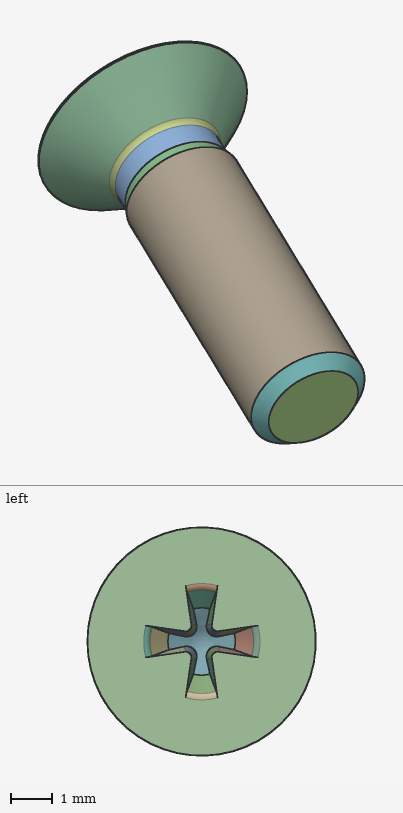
import cadquery as cq
import math

length = 10.0
head_radius = 5.5 / 2
rim_width = 0.05
neck_radius = 2.8 / 2
neck_end = 2.1
neck_fillet = 0.25
shank_radius = 3.0 / 2
shank_start = 2.4
tip_chamfer = 0.32

recess_radius = 1.4
mouth_fillet = 0.18
wing_cone_angle = math.radians(30)
floor_radius = 0.81
floor_cone_angle = math.radians(28)
wing_center_half_width = 0.19
wing_flare = math.tan(math.radians(8.2))
wall_draft = 7.0
corner_arc_start = 0.4
wing_reach = recess_radius + 0.3


def make_body():
    """Revolve the 90 degree countersunk head, neck and chamfered shank."""
    cone_end = rim_width + head_radius - neck_radius
    fillet_tangent = neck_fillet * math.tan(math.radians(45) / 2)
    cone_setback = fillet_tangent * math.cos(math.radians(45))
    return (
        cq.Workplane("XY")
        .lineTo(0, head_radius)
        .lineTo(rim_width, head_radius)
        .lineTo(cone_end - cone_setback, neck_radius + cone_setback)
        .tangentArcPoint((cone_end + fillet_tangent, neck_radius), relative=False)
        .lineTo(neck_end, neck_radius)
        .lineTo(shank_start, shank_radius)
        .lineTo(length - tip_chamfer, shank_radius)
        .lineTo(length, shank_radius - tip_chamfer)
        .lineTo(length, 0)
        .close()
        .revolve(360, (0, 0, 0), (1, 0, 0))
    )


def make_recess():
    """Intersect a drafted flared cross with a rounded-mouth conical envelope."""
    arc_turn = math.pi / 2 - wing_cone_angle
    cone_radius = recess_radius - mouth_fillet * math.sin(arc_turn)
    cone_start = mouth_fillet * (1 - math.cos(arc_turn))
    floor_start = cone_start + (cone_radius - floor_radius) / math.tan(wing_cone_angle)
    depth = floor_start + floor_radius * math.tan(floor_cone_angle)
    envelope = (
        cq.Workplane("XY")
        .lineTo(0, recess_radius)
        .radiusArc((cone_start, cone_radius), -mouth_fillet)
        .lineTo(floor_start, floor_radius)
        .lineTo(depth, 0)
        .close()
        .revolve(360, (0, 0, 0), (1, 0, 0))
    )

    def wing_half_width(distance):
        return wing_center_half_width + wing_flare * distance

    arc_half_width = wing_half_width(corner_arc_start)
    end_half_width = wing_half_width(wing_reach)

    def turned(y, z, quarter):
        for _ in range(quarter):
            y, z = -z, y
        return y, z

    cross = cq.Workplane("YZ").moveTo(corner_arc_start, -arc_half_width)
    for quarter in range(4):
        cross = (
            cross.lineTo(*turned(wing_reach, -end_half_width, quarter))
            .lineTo(*turned(wing_reach, end_half_width, quarter))
            .lineTo(*turned(corner_arc_start, arc_half_width, quarter))
            .tangentArcPoint(turned(arc_half_width, corner_arc_start, quarter), relative=False)
        )
    cross = cross.close().extrude(depth, taper=wall_draft)
    return envelope.intersect(cross)


result = make_body().cut(make_recess())